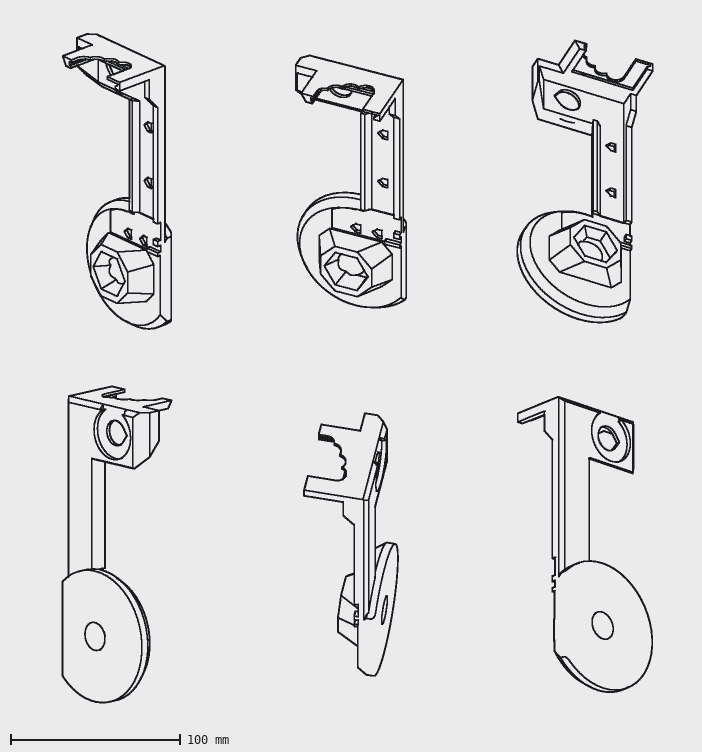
import cadquery as cq
import math


DISC_RADIUS = 39.7
RIGHT = 29.0
OVERALL_HEIGHT = 179.5
TOP = OVERALL_HEIGHT - DISC_RADIUS
OVERALL_DEPTH = 42.5

ARM_BACK = 4.1
FLOOR = 9.3
PANEL_FLOOR = 9.9
DISC_FRONT = 10.2
ARM_FRONT = 12.4
HEAD_FRONT = 19.0
BOSS_FRONT = 24.8

DISC_RIM = 4.8
DISC_FACE_RADIUS = 35.9
SHAFT_RADIUS = 8.5
CORNER_RADIUS = 2.5

BOSS_HALF_HEIGHT = 16.7
BOSS_BASE = (23.3, 16.7, 9.5)
BOSS_TIP = (16.3, 7.2, 6.8)
HEX_RADIUS = 14.0
HEX_DEPTH = 8.8
HEX_LEFT_INSET = 5.4
HEX_BOTTOM_INSET = 4.1

ARM_LEFT_FRONT = 4.1
ARM_LEFT_BACK = 6.8
ARM_BOTTOM = 38.6
LIP_WIDTH = 2.7
LEFT_LIP_TOP = TOP - 28.9
RIGHT_LIP_INNER = 25.3
BACK_CHAMFER = 2.5

PANEL_LEFT = -15.3
PANEL_BOTTOM = 17.5
PANEL_ARC_RADIUS = 29.0
UPPER_PEG = (RIGHT_LIP_INNER, 23.9, 27.3)
LOWER_PEG = (19.4, PANEL_BOTTOM, 19.7)

ARROW_LENGTH = 6.3
ARROW_HEIGHT = 6.1
ARROW_DEPTH = 2.2
ARM_ARROW_TIPS = [(13.8, 96.8), (13.8, 60.7)]
PANEL_ARROW_TIPS = [(-3.2, 21.9), (10.5, 21.9)]

HEAD_LEFT = -34.8
HEAD_FRONT_HEIGHT = 18.3
HEAD_BACK_HEIGHT = 33.5
HEAD_LOW_DEPTH = 4.7
HEAD_LOW_HEIGHT = 34.1
HEAD_TOP_CHAMFER = 2.9
HEAD_SIDE_CHAMFER = 7.0
CAVITY_LEFT_FLOOR = -26.7
CAVITY_LEFT_FRONT = -33.7
PIVOT_X = -10.5
PIVOT_Z = TOP - 15.8
PIVOT_RADIUS = 7.5
PIVOT_TIP = 9.3
RECESS_RADIUS = 15.5
RECESS_MOUTH = (-20.3, -18.7, 0.0)

PLATE_THICKNESS = 5.5
PLATE_LEFT_TOP = -21.4
PLATE_LEFT_BOTTOM = -18.3
SCALLOP_RADIUS = 5.4
SCALLOP_CENTRES = [(-8.3, 37.3), (-3.5, 32.3), (4.0, 28.0), (12.7, 25.8)]
SLOT_TOP = 1.7
SLOT_BOTTOM = 3.8
SLOT_LEFT = -15.3
SLOT_RIGHT = 27.8
SLOT_BACK = 20.1
GROOVE_X = -5.4
GROOVE_RADIUS = 5.4
GROOVE_DEPTH = 0.4
LOWER_LEFT = -14.2
LOWER_BACK = 22.3


def front_prism(points, start, end):
    """Prism with an (x, z) outline between two depths."""
    return cq.Workplane("XZ", origin=(0, -start, 0)).polyline(points).close().extrude(end - start)


def side_prism(points, left, right):
    """Prism with a (depth, z) outline between two X positions."""
    outline = [(-depth, z) for depth, z in points]
    return cq.Workplane("YZ", origin=(left, 0, 0)).polyline(outline).close().extrude(right - left)


def plan_prism(points, bottom, top):
    """Prism with an (x, depth) outline between two heights."""
    outline = [(x, -depth) for x, depth in points]
    return cq.Workplane("XY", origin=(0, 0, bottom)).polyline(outline).close().extrude(top - bottom)


def block(left, right, start, end, bottom, top):
    return plan_prism([(left, start), (right, start), (right, end), (left, end)], bottom, top)


def cylinder(x, z, radius, start, end):
    """Cylinder along Y between two depths."""
    return cq.Workplane("XZ", origin=(x, -start, z)).circle(radius).extrude(end - start)


def post(x, depth, radius, bottom, top):
    """Cylinder along Z between two heights."""
    return cq.Workplane("XY", origin=(x, -depth, bottom)).circle(radius).extrude(top - bottom)


def loft_between(first, start, second, end):
    """Straight-sided solid joining two (x, z) outlines at two depths."""
    sketch = cq.Workplane("XZ", origin=(0, -start, 0)).polyline(first).close()
    return sketch.workplane(offset=end - start).polyline(second).close().loft(ruled=True)


def make_disc():
    profile = [
        (0, 0),
        (DISC_RADIUS, 0),
        (DISC_RADIUS, -DISC_RIM),
        (DISC_FACE_RADIUS, -DISC_FRONT),
        (0, -DISC_FRONT),
    ]
    disc = cq.Workplane("XY").polyline(profile).close().revolve(360, (0, 0, 0), (0, 1, 0))
    keep = block(-DISC_RADIUS, RIGHT, 0, DISC_FRONT, -DISC_RADIUS, DISC_RADIUS)
    keep = keep.edges("|Z and >X and >Y").fillet(CORNER_RADIUS)
    return disc.intersect(keep).cut(sunken_panel())


def sunken_panel():
    """Shallow panel whose upper left edge is an arc meeting the top of the disc's front face."""
    arc_centre_z = DISC_FACE_RADIUS - PANEL_ARC_RADIUS
    arc_start_z = arc_centre_z + math.sqrt(PANEL_ARC_RADIUS**2 - PANEL_LEFT**2)
    outline = (
        cq.Workplane("XZ", origin=(0, -PANEL_FLOOR, 0))
        .moveTo(PANEL_LEFT, PANEL_BOTTOM)
        .lineTo(PANEL_LEFT, arc_start_z)
        .radiusArc((0, DISC_FACE_RADIUS), PANEL_ARC_RADIUS)
        .lineTo(0, DISC_RADIUS)
        .lineTo(RIGHT, DISC_RADIUS)
        .lineTo(RIGHT, PANEL_BOTTOM)
        .close()
    )
    return outline.extrude(DISC_FRONT - PANEL_FLOOR)


def octagon(half_width, flat_x, flat_z):
    right = [
        (flat_x, -BOSS_HALF_HEIGHT),
        (half_width, -flat_z),
        (half_width, flat_z),
        (flat_x, BOSS_HALF_HEIGHT),
    ]
    return right + [(-x, z) for x, z in reversed(right)]


def make_boss():
    return loft_between(octagon(*BOSS_BASE), DISC_FRONT, octagon(*BOSS_TIP), BOSS_FRONT)


def hex_pocket():
    """Hexagonal pocket whose two left walls and bottom wall lean inwards."""
    half_side = HEX_RADIUS / 2
    apothem = HEX_RADIUS * math.sqrt(3) / 2
    run = HEX_BOTTOM_INSET / math.sqrt(3)
    mouth = [
        (-HEX_RADIUS, 0),
        (-half_side, apothem),
        (half_side, apothem),
        (HEX_RADIUS, 0),
        (half_side, -apothem),
        (-half_side, -apothem),
    ]
    low = HEX_BOTTOM_INSET - apothem
    floor = [
        (HEX_LEFT_INSET - HEX_RADIUS, 0),
        (HEX_LEFT_INSET - half_side, apothem),
        (half_side, apothem),
        (HEX_RADIUS, 0),
        (half_side + run, low),
        (HEX_LEFT_INSET - half_side - run, low),
    ]
    return loft_between(floor, BOSS_FRONT - HEX_DEPTH, mouth, BOSS_FRONT)


def make_arm():
    """Channel with an undercut left side, running down onto the disc as a flat plate."""
    lip_inner = ARM_LEFT_FRONT + LIP_WIDTH
    section = [
        (ARM_LEFT_BACK, ARM_BACK),
        (ARM_LEFT_FRONT, ARM_FRONT),
        (lip_inner, ARM_FRONT),
        (lip_inner + ARM_FRONT - FLOOR, FLOOR),
        (RIGHT_LIP_INNER, FLOOR),
        (RIGHT_LIP_INNER, ARM_FRONT),
        (RIGHT, ARM_FRONT),
        (RIGHT, ARM_BACK),
    ]
    channel = plan_prism(section, ARM_BOTTOM, LEFT_LIP_TOP)
    right_lip = block(
        RIGHT_LIP_INNER, RIGHT, ARM_BACK, ARM_FRONT, LEFT_LIP_TOP, TOP - HEAD_FRONT_HEIGHT
    )
    undercut = (ARM_LEFT_BACK - ARM_LEFT_FRONT) / (ARM_FRONT - ARM_BACK)
    plate_left = ARM_LEFT_BACK - undercut * (PANEL_FLOOR - ARM_BACK)
    plate = plan_prism(
        [(ARM_LEFT_BACK, ARM_BACK), (plate_left, PANEL_FLOOR), (RIGHT, PANEL_FLOOR), (RIGHT, ARM_BACK)],
        PANEL_BOTTOM,
        ARM_BOTTOM,
    )
    return channel.union(right_lip).union(plate)


def make_head():
    """Wall with a sloping underside, hollowed from the front below the top plate."""
    profile = [
        (ARM_BACK, TOP - HEAD_TOP_CHAMFER),
        (ARM_BACK + HEAD_TOP_CHAMFER, TOP),
        (HEAD_FRONT, TOP),
        (HEAD_FRONT, TOP - HEAD_FRONT_HEIGHT),
        (HEAD_LOW_DEPTH, TOP - HEAD_LOW_HEIGHT),
        (ARM_BACK, TOP - HEAD_BACK_HEIGHT),
    ]
    head = side_prism(profile, HEAD_LEFT, RIGHT)
    low = TOP - HEAD_LOW_HEIGHT
    side_chamfer = plan_prism(
        [
            (HEAD_LEFT, ARM_BACK),
            (HEAD_LEFT + HEAD_SIDE_CHAMFER, ARM_BACK),
            (HEAD_LEFT, ARM_BACK + HEAD_SIDE_CHAMFER),
        ],
        low,
        TOP,
    )
    cavity = plan_prism(
        [
            (CAVITY_LEFT_FLOOR, FLOOR),
            (RIGHT_LIP_INNER, FLOOR),
            (RIGHT_LIP_INNER, HEAD_FRONT),
            (CAVITY_LEFT_FRONT, HEAD_FRONT),
        ],
        low,
        TOP - PLATE_THICKNESS,
    )
    return head.cut(side_chamfer).cut(cavity)


def make_plate():
    bottom = TOP - PLATE_THICKNESS
    outline = [(PLATE_LEFT_TOP, TOP), (RIGHT, TOP), (RIGHT, bottom), (PLATE_LEFT_BOTTOM, bottom)]
    return front_prism(outline, HEAD_FRONT, OVERALL_DEPTH)


def plate_opening():
    """Three layers: a scalloped mouth, a wide slot under it and a plain opening below."""
    slot_top = TOP - SLOT_TOP
    slot_bottom = TOP - SLOT_BOTTOM
    first_x, first_depth = SCALLOP_CENTRES[0]
    last_x, last_depth = SCALLOP_CENTRES[-1]
    mouth_left = first_x - SCALLOP_RADIUS
    mouth_right = last_x + SCALLOP_RADIUS
    mouth = [(mouth_left, OVERALL_DEPTH), (mouth_left, first_depth)]
    mouth += SCALLOP_CENTRES
    mouth += [(mouth_right, last_depth), (mouth_right, OVERALL_DEPTH)]
    opening = plan_prism(mouth, slot_top, TOP)
    for x, depth in SCALLOP_CENTRES:
        opening = opening.union(post(x, depth, SCALLOP_RADIUS, slot_top, TOP))

    slot_outline = [
        (SLOT_LEFT, slot_top),
        (SLOT_RIGHT, slot_top),
        (SLOT_RIGHT - (SLOT_BOTTOM - SLOT_TOP), slot_bottom),
        (SLOT_LEFT, slot_bottom),
    ]
    slot = front_prism(slot_outline, SLOT_BACK, OVERALL_DEPTH)
    groove_centre = SLOT_BACK - GROOVE_DEPTH + GROOVE_RADIUS
    groove = post(GROOVE_X, groove_centre, GROOVE_RADIUS, slot_bottom, slot_top)
    lower = block(
        LOWER_LEFT, RIGHT_LIP_INNER, LOWER_BACK, OVERALL_DEPTH, TOP - PLATE_THICKNESS, slot_bottom
    )
    return opening.union(slot).union(groove).union(lower)


def pivot_hole():
    """Round hole drawn out to a point on its left side, tangent to the circle."""
    tangent_x = PIVOT_RADIUS**2 / PIVOT_TIP
    tangent_z = math.sqrt(PIVOT_RADIUS**2 - tangent_x**2)
    outline = (
        cq.Workplane("XZ", origin=(PIVOT_X, -ARM_BACK, PIVOT_Z))
        .moveTo(-PIVOT_TIP, 0)
        .lineTo(-tangent_x, tangent_z)
        .threePointArc((PIVOT_RADIUS, 0), (-tangent_x, -tangent_z))
        .close()
    )
    return outline.extrude(FLOOR - ARM_BACK)


def pivot_recess():
    """Round recess behind the pivot hole, opening through the top back chamfer."""
    end = ARM_BACK + HEAD_TOP_CHAMFER
    mouth_left, mouth_left_top, mouth_right = RECESS_MOUTH
    shoulder = TOP - HEAD_TOP_CHAMFER
    mouth = [(mouth_left, shoulder), (mouth_left_top, TOP), (mouth_right, TOP), (mouth_right, shoulder)]
    round_part = cylinder(PIVOT_X, PIVOT_Z, RECESS_RADIUS, ARM_BACK, end)
    return round_part.union(front_prism(mouth, ARM_BACK, end))


def back_edge_chamfer():
    """Wedge along the back right edge of the arm and head."""
    corner = [
        (RIGHT, ARM_BACK),
        (RIGHT - BACK_CHAMFER, ARM_BACK),
        (RIGHT, ARM_BACK + BACK_CHAMFER),
    ]
    return plan_prism(corner, PANEL_BOTTOM, TOP)


def arrow_recess(tip_x, tip_z, floor):
    """Five-sided pocket pointing left, sunk into a floor at the given depth."""
    half = ARROW_HEIGHT / 2
    outline = [
        (tip_x, tip_z),
        (tip_x + half, tip_z + half),
        (tip_x + ARROW_LENGTH, tip_z + half),
        (tip_x + ARROW_LENGTH, tip_z - half),
        (tip_x + half, tip_z - half),
    ]
    return front_prism(outline, floor - ARROW_DEPTH, floor)


body = make_arm().union(make_head()).union(make_plate())
body = body.cut(plate_opening()).cut(pivot_hole()).cut(pivot_recess()).cut(back_edge_chamfer())

body = body.union(make_disc()).union(make_boss())
for peg_left, peg_bottom, peg_top in (UPPER_PEG, LOWER_PEG):
    body = body.union(block(peg_left, RIGHT, FLOOR, ARM_FRONT, peg_bottom, peg_top))

body = body.cut(hex_pocket()).cut(cylinder(0, 0, SHAFT_RADIUS, 0, BOSS_FRONT))
for tips, floor in ((ARM_ARROW_TIPS, FLOOR), (PANEL_ARROW_TIPS, PANEL_FLOOR)):
    for arrow_x, arrow_z in tips:
        body = body.cut(arrow_recess(arrow_x, arrow_z, floor))

result = body